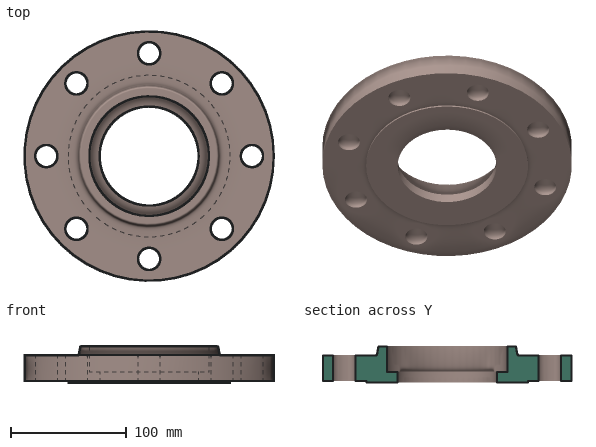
import cadquery as cq

flange_diameter = 215.8
total_height = 31.7

raised_face_diameter = 140.0
raised_face_height = 1.5
flange_thickness = 22.5
flange_top = raised_face_height + flange_thickness

hub_base_diameter = 122.2
hub_taper_angle = 10.0
hub_height = total_height - flange_top
hub_edge_radius = 1.5

bore_diameter = 85.5
socket_diameter = 103.5
socket_depth = 22.2

bolt_count = 8
bolt_circle_diameter = 177.9
bolt_hole_diameter = 19.0

selection_margin = 0.2


def disc(diameter, height, base_z):
    """Upright cylinder on the flange axis, starting at base_z."""
    return cq.Workplane("XY").workplane(offset=base_z).circle(diameter / 2).extrude(height)


def tapered_hub():
    """Cone frustum standing on the flange, rounded around its top rim."""
    cone = (
        cq.Workplane("XY")
        .workplane(offset=flange_top)
        .circle(hub_base_diameter / 2)
        .extrude(hub_height, taper=hub_taper_angle)
    )
    return cone.faces(">Z").edges().fillet(hub_edge_radius)


def flange_body():
    """Raised face, plate and hub joined, with a fillet in the corner where hub meets plate."""
    raised_face = disc(raised_face_diameter, raised_face_height, 0)
    plate = disc(flange_diameter, flange_thickness, raised_face_height)
    body = raised_face.union(plate).union(tapered_hub())

    reach = hub_base_diameter / 2 + selection_margin
    base_circle = cq.selectors.BoxSelector(
        (-reach, -reach, flange_top - selection_margin),
        (reach, reach, flange_top + selection_margin),
        boundingbox=True,
    )
    return body.edges(base_circle).fillet(hub_edge_radius)


def bolt_holes():
    """Through holes evenly spaced on the bolt circle."""
    return (
        cq.Workplane("XY")
        .polarArray(bolt_circle_diameter / 2, 0, 360, bolt_count)
        .circle(bolt_hole_diameter / 2)
        .extrude(total_height)
    )


bore = disc(bore_diameter, total_height, 0)
socket = disc(socket_diameter, socket_depth, total_height - socket_depth)

result = flange_body().cut(bore).cut(socket).cut(bolt_holes())